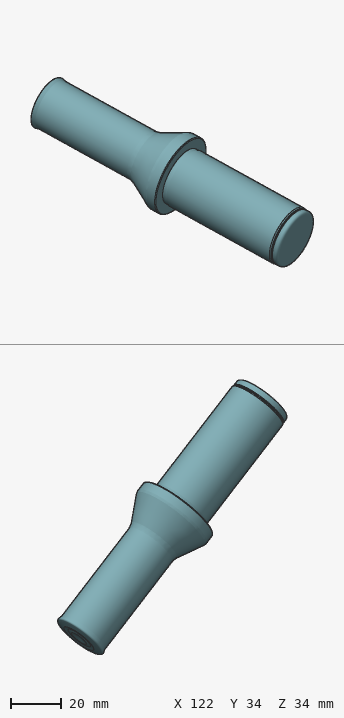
import cadquery as cq


shaft_radius = 21.5 / 2
lip_radius = 22.2 / 2
lip_crest_x = 1.6
lip_end_x = 2.9
rim_radius = 10.6
rim_x = 0.6
face_edge_radius = 9.8
wave_depth = 0.29
outer_crest_radius = 7.3
valley_radius = 5.5
inner_crest_radius = 3.7
center_depth = 2 * wave_depth
face_edge_x = 0.43

cone_start_x = 48.8
cone_end_x = 61.2
collar_radius = 34.0 / 2
collar_end_x = 65.9
collar_chamfer = 0.4
cone_root_fillet = 4.9
cone_top_fillet = 2.5

shank_radius = 25.0 / 2
relief_radius = 24.5 / 2
relief_end_x = 67.0
relief_ramp_end_x = 68.1
taper_start_x = 118.1
shank_end_x = 118.7

total_length = 122.0
cap_radius = relief_radius
cap_neck_radius = 12.0
cap_neck_length = 0.5
cap_fillet = 1.1


def revolve_about_x(profile):
    """Revolve a closed (X, radius) profile a full turn about the X axis."""
    return profile.revolve(360, (0, 0, 0), (1, 0, 0))


def cylinder_along_x(start_x, end_x, radius):
    return cq.Workplane("YZ", origin=(start_x, 0, 0)).circle(radius).extrude(end_x - start_x)


def make_shaft_and_lip():
    """Guide shaft up to the start of the cone."""
    return revolve_about_x(
        cq.Workplane("XY")
        .moveTo(center_depth, 0)
        .lineTo(0, inner_crest_radius)
        .lineTo(wave_depth, valley_radius)
        .lineTo(0, outer_crest_radius)
        .lineTo(face_edge_x, face_edge_radius)
        .lineTo(rim_x, rim_radius)
        .tangentArcPoint((lip_crest_x, lip_radius), relative=False)
        .lineTo(lip_end_x, shaft_radius)
        .lineTo(cone_start_x, shaft_radius)
        .lineTo(cone_start_x, 0)
        .close()
    )


def make_collar_and_shank():
    """Conical collar, relief groove and shank with its tapered end."""
    return revolve_about_x(
        cq.Workplane("XY")
        .moveTo(cone_start_x, 0)
        .lineTo(cone_start_x, shaft_radius)
        .lineTo(cone_end_x, collar_radius)
        .lineTo(collar_end_x - collar_chamfer, collar_radius)
        .lineTo(collar_end_x, collar_radius - collar_chamfer)
        .lineTo(collar_end_x, relief_radius)
        .lineTo(relief_end_x, relief_radius)
        .lineTo(relief_ramp_end_x, shank_radius)
        .lineTo(taper_start_x, shank_radius)
        .lineTo(shank_end_x, relief_radius)
        .lineTo(shank_end_x, 0)
        .close()
    )


def round_circle(body, x, radius, fillet_radius):
    """Fillet the circular edge of the given radius at x."""
    half_window = 0.1
    ring_box = cq.selectors.BoxSelector(
        (x - half_window, -radius, -radius),
        (x + half_window, radius, radius),
    )
    return body.edges("%CIRCLE").edges(ring_box).fillet(fillet_radius)


def make_pin():
    """Guide shaft, collar and shank in one piece, with their edges rounded."""
    pin_body = make_shaft_and_lip().union(make_collar_and_shank())
    pin_body = round_circle(pin_body, cone_start_x, shaft_radius, cone_root_fillet)
    return round_circle(pin_body, cone_end_x, collar_radius, cone_top_fillet)


def make_end_cap():
    """Disc with a rounded outer end, standing on its neck."""
    disc_start_x = shank_end_x + cap_neck_length
    disc = cylinder_along_x(disc_start_x, total_length, cap_radius)
    disc = disc.faces(">X").edges().fillet(cap_fillet)
    return disc.union(cylinder_along_x(shank_end_x, disc_start_x, cap_neck_radius))


pin = make_pin()
end_cap = make_end_cap()

result = cq.Compound.makeCompound([pin.val(), end_cap.val()])